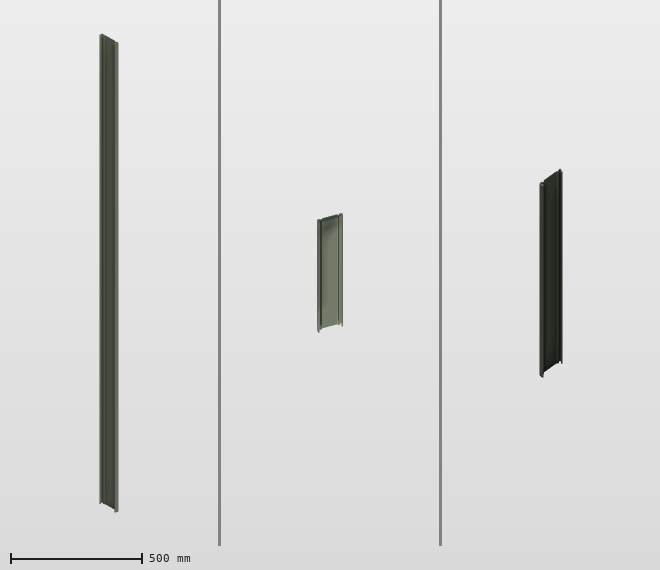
import cadquery as cq

length = 2000.0
width = 100.0
depth = 15.0

sheet = 1.8
foot_width = 5.0
foot_height = 5.5
foot_taper = 1.8
shoulder_width = 12.0
groove_width = 5.0
groove_depth = 5.0

half_width = width / 2
back = depth / 2
front = -depth / 2
leg_inner = half_width - sheet
foot_inner = half_width - foot_width
foot_top = front + foot_height
rim_end = half_width - shoulder_width
floor_end = rim_end - groove_width
web_end = floor_end - groove_depth
floor_back = back - groove_depth

right_half = [
    (web_end, back),
    (floor_end, floor_back),
    (rim_end, floor_back),
    (rim_end, back),
    (half_width, back),
    (half_width, foot_top),
    (half_width - foot_taper, front),
    (foot_inner, front),
    (foot_inner, foot_top),
    (leg_inner, foot_top),
    (leg_inner, back - sheet),
    (rim_end + sheet, back - sheet),
    (rim_end + sheet, floor_back - sheet),
    (floor_end, floor_back - sheet),
    (web_end, back - sheet),
]
left_half = [(-x, y) for x, y in reversed(right_half)]

result = (
    cq.Workplane("XY")
    .workplane(offset=-length / 2)
    .polyline(right_half + left_half)
    .close()
    .extrude(length)
)